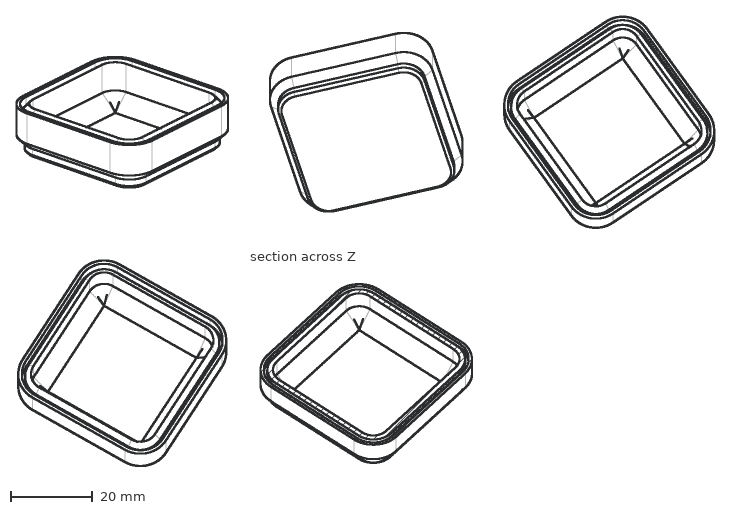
import cadquery as cq

width = 41.0
height = 12.75
corner_radius = 7.3

foot_inset = 2.0
foot_chamfer = 0.8
foot_band_top = 2.55
body_bottom = foot_band_top + foot_inset

rim_thickness = 0.9
groove_width = 0.78
groove_inner_inset = rim_thickness + groove_width
ridge_slope_height = 1.65
groove_depth = 4.1
groove_bottom = height - groove_depth

cavity_inset = 3.15
floor_half_width = width / 2 - corner_radius
floor_level = 1.02
wall_bottom = floor_level + corner_radius - cavity_inset


def square_sweep(points):
    """Carry a closed profile around a square with rounded corners.

    Each point is (inset from the outer wall, height). An inset equal to
    corner_radius shrinks the rounded corners to points.
    """
    section = [(corner_radius - inset, z) for inset, z in points]
    profile = cq.Sketch().polygon([*section, section[0]])
    profile_plane = cq.Workplane("XZ").placeSketch(profile)
    side = profile_plane.extrude(floor_half_width, both=True).translate((floor_half_width, 0, 0))
    corner = profile_plane.revolve(90, (0, 0, 0), (0, 1, 0))
    quarter = side.union(corner.translate((floor_half_width, floor_half_width, 0)))
    ring = quarter
    for turn in (90, 180, 270):
        ring = ring.union(quarter.rotate((0, 0, 0), (0, 0, 1), turn))
    return ring


wall = square_sweep([
    (corner_radius, 0),
    (foot_inset + foot_chamfer, 0),
    (foot_inset, foot_chamfer),
    (foot_inset, foot_band_top),
    (0, body_bottom),
    (0, height),
    (rim_thickness, height),
    (rim_thickness, groove_bottom),
    (groove_inner_inset, groove_bottom),
    (groove_inner_inset, height - ridge_slope_height),
    (cavity_inset, height),
    (cavity_inset, wall_bottom),
    (corner_radius, floor_level),
])

floor_side = 2 * floor_half_width
floor = cq.Workplane("XY").box(floor_side, floor_side, floor_level, centered=(True, True, False))

result = wall.union(floor)